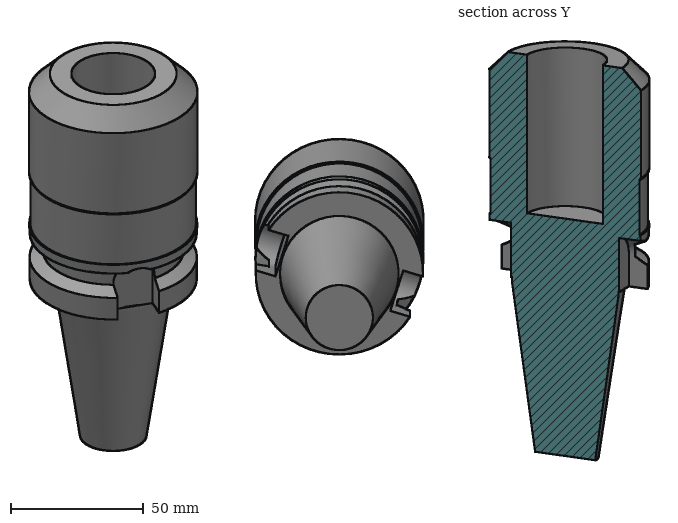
import cadquery as cq

total_height = 155.9
taper_top = 65.6
flange_bottom = 67.5
flange_top = 76.9
groove_bottom = 79.7
groove_top = 84.6
collar_bottom = 87.3
collar_top = 91.2
body_top = 112.7
nut_bottom = 113.5
nut_chamfer_height = 7.8

nut_diameter = 63.5
nut_radius = nut_diameter / 2
nut_face_radius = 23.9
body_radius = 31.2
collar_radius = 31.6
flange_radius = 31.5
groove_radius = 26.5
gauge_radius = 22.3
shank_end_radius = 12.6
bore_radius = 15.7

bore_depth = 62.4

slot_width = 16.4
slot_top = 88.7
slot_floor_radius = 22.6


def make_body():
    """Revolve the holder profile (radius, height) about Z."""
    profile = [
        (0, 0),
        (shank_end_radius, 0),
        (gauge_radius, taper_top),
        (gauge_radius, flange_bottom),
        (flange_radius, flange_bottom),
        (flange_radius, flange_top),
        (groove_radius, groove_bottom),
        (groove_radius, groove_top),
        (flange_radius, collar_bottom),
        (collar_radius, collar_top),
        (body_radius, collar_top),
        (body_radius, body_top),
        (nut_radius, nut_bottom),
        (nut_radius, total_height - nut_chamfer_height),
        (nut_face_radius, total_height),
        (0, total_height),
    ]
    return cq.Workplane("XZ").polyline(profile).close().revolve(360, (0, 0, 0), (0, 1, 0))


def make_bore():
    """Blind tool bore opening at the top face."""
    return (
        cq.Workplane("XY")
        .workplane(offset=total_height - bore_depth)
        .circle(bore_radius)
        .extrude(bore_depth)
    )


def make_drive_slot():
    """Round-topped slot with a flat floor, open at the -X side and below the flange."""
    half_width = slot_width / 2
    arch_start = slot_top - half_width
    return (
        cq.Workplane("YZ")
        .workplane(offset=-nut_radius)
        .moveTo(-half_width, flange_bottom)
        .lineTo(-half_width, arch_start)
        .threePointArc((0, slot_top), (half_width, arch_start))
        .lineTo(half_width, flange_bottom)
        .close()
        .extrude(nut_radius - slot_floor_radius)
    )


result = make_body().cut(make_bore())
for slot_angle in (0, 180):
    result = result.cut(make_drive_slot().rotate((0, 0, 0), (0, 0, 1), slot_angle))